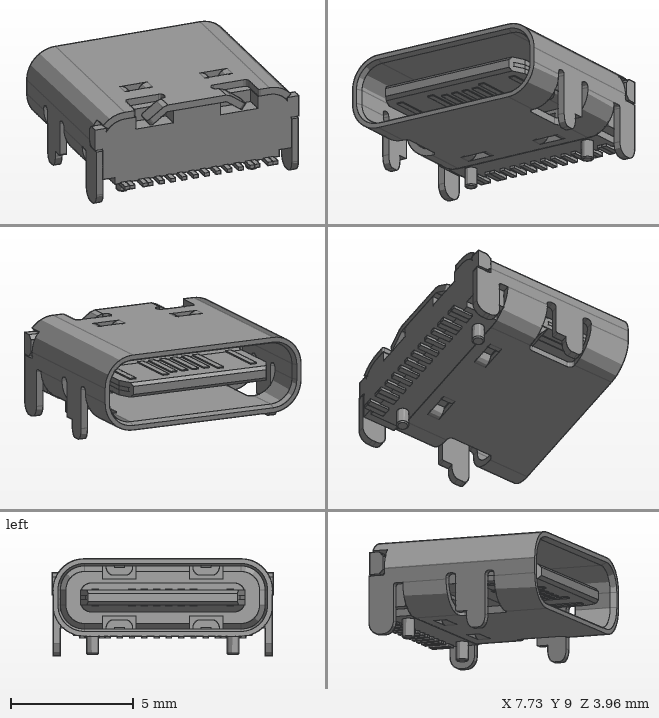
import cadquery as cq
import math


SHEET = 0.3
SHELL_WIDTH = 8.93
SHELL_HEIGHT = 3.16
SHELL_LENGTH = 7.26
CORNER_RADIUS = 1.27
SHELL_Y = SHELL_WIDTH / 2
SHELL_Z = SHELL_HEIGHT / 2
INNER_Y = SHELL_Y - SHEET
INNER_Z = SHELL_Z - SHEET
FLAT_Z = SHELL_Z - CORNER_RADIUS
MOUTH_CHAMFER = 0.1
MOUTH_CHAMFER_DEPTH = 0.25

OVERALL_HEIGHT = 3.96
LEG_BOTTOM = SHELL_Z - OVERALL_HEIGHT

WINDOW_FRONT = 1.79
WINDOW_REAR = 3.91
WINDOW_INNER_Y = 2.97
WINDOW_RADIUS = 0.22
SLOT_TOP = -0.06
SLOT_RADIUS = 0.17
FRONT_LEG_FRONT = 2.19
FRONT_LEG_REAR = 3.01
FRONT_LEG_TAPER = 0.27
SHOULDER_REAR = 3.48
SHOULDER_BOTTOM = -1.67
SHOULDER_RADIUS = 0.07

UNDERSIDE_REAR = 5.81
REAR_LEG_FRONT = 6.23
REAR_LEG_REAR = 7.31
REAR_LEG_TAPER = 0.45
LEG_TIP_HEIGHT = 0.5
LEG_ROOT_RADIUS = 0.11

SPRING_FRONT = 4.79
SPRING_REAR = 5.33
SPRING_Y = 1.76
SPRING_HALF_WIDTH = 0.61
SPRING_CEILING_HALF = 0.54
SPRING_CREST_HALF = 0.33
SPRING_VALLEY_HALF = 0.2
SPRING_DROP = 0.36
SPRING_UPPER_MIDDLE = (0.315, 1.46)
SPRING_LOWER_MIDDLE = (0.49, 1.05)

NOTCH_FRONT = 6.11
NOTCH_SLOT_REAR = 6.525
NOTCH_OUTER_Y = 2.72
NOTCH_INNER_Y = 1.04
NOTCH_RADIUS = 0.16
NOTCH_MOUTH_RADIUS = 0.07
FLAP_FRONT = 6.57
FLAP_ROOT_Y = 1.29
FLAP_BEND_Y = 1.5
FLAP_TIP_Y = 2.2
FLAP_BEND_DROP = 0.07
FLAP_TIP_DROP = 0.57
FLAP_TIP_RADIUS = 0.135

CORE_FRONT = 4.5
CORE_CHAMFER = 0.225
SPRING_POCKET_WIDTH = 1.37
SPRING_POCKET_REAR = 5.49
POCKET_Z = 0.75
FLAP_POCKET_FRONT = 6.51
FLAP_POCKET_OUTER_Y = 2.69

FLANK_BOTTOM = -1.25
SLAB_Y = 3.64
SLAB_BOTTOM = -1.55

TONGUE_FRONT = 0.3
TONGUE_WIDTH = 6.7
TONGUE_THICKNESS = 0.61
TIP_CHAMFER = 0.135
TIP_SIDE_RUN = 0.69
TIP_SIDE_INSET = 0.315
BASE_FRONT = 3.15
BASE_HEIGHT = 1.18
BASE_RADIUS = 0.44
BASE_RAMP = 0.27

EAR_FRONT = 6.66
EAR_REAR = SHELL_LENGTH
EAR_BOTTOM = 0.1
EAR_TOP = 1.01
EAR_ROOT_Y = 4.005
EAR_Y = 4.5
EAR_CHAMFER = 0.18
EAR_NOTCH_FRONT = 6.62
EAR_NOTCH_BOTTOM = 0.045
EAR_NOTCH_TOP = 1.14
EAR_NOTCH_RADIUS = 0.09

PEG_DIAMETER = 0.5
PEG_X = 6.23
PEG_Y = 2.86
PEG_BOTTOM = -2.32
PEG_CHAMFER = 0.05

PITCH = 50 / 9
CONTACT_WIDTH = 0.27
CONTACT_HEIGHT = 0.045
LONG_CONTACT_FRONT = 0.9
SHORT_CONTACT_FRONT = 1.17
LONG_CONTACT_STEPS = (0.225, 0.495)
SHORT_CONTACT_STEPS = (0.045, 0.135)

TAIL_WIDTH = 0.22
TAIL_FRONT = 6.84
TAIL_REAR = 7.73
TAIL_TOP = -1.5
TAIL_BOTTOM = -1.66
TAIL_STEPS = (0.045, 0.135, 0.225, 0.315)
TAIL_PAIRS = (2.36, 3.16)
TAIL_PAIR_SPACING = 0.23

PLATE_THICKNESS = 0.17
PLATE_INSET = 0.225
PLATE_FRONT = TONGUE_FRONT + PLATE_INSET
PLATE_REAR = BASE_FRONT

SIDES = (-1, 1)
MARGIN = 0.09
PICK = 0.01


def box(x0, x1, y0, y1, z0, z1):
    """A box between two opposite corners."""
    corner = (min(x0, x1), min(y0, y1), min(z0, z1))
    return cq.Workplane("XY").box(abs(x1 - x0), abs(y1 - y0), abs(z1 - z0), centered=False).translate(corner)


def rounded_bar(x0, x1, half_y, half_z, radius):
    """A bar along X with a rounded rectangular section."""
    bar = box(x0, x1, -half_y, half_y, -half_z, half_z)
    return bar.edges("|X").fillet(radius)


def across(profile, y0, y1):
    """An XZ profile of points, extruded from y0 to y1."""
    return cq.Workplane("XZ", origin=(0, y0, 0)).polyline(profile).close().extrude(y0 - y1)


def along(profile, x0, x1):
    """A YZ profile of points, extruded from x0 to x1."""
    return cq.Workplane("YZ", origin=(x0, 0, 0)).polyline(profile).close().extrude(x1 - x0)


def both_sides(body):
    """A body and its mirror image in Y."""
    return body.union(body.mirror("XZ"))


def shell_tube():
    outer = rounded_bar(0, SHELL_LENGTH, SHELL_Y, SHELL_Z, CORNER_RADIUS)
    inner = rounded_bar(0, SHELL_LENGTH, INNER_Y, INNER_Z, CORNER_RADIUS - SHEET)
    tube = outer.cut(inner)
    inner_wire = inner.faces("<X").wires().val()
    lead_in = cq.Solid.makeLoft([
        inner_wire.offset2D(MOUTH_CHAMFER)[0],
        inner_wire.translate(cq.Vector(MOUTH_CHAMFER_DEPTH, 0, 0)),
    ], True)
    return tube.cut(cq.Workplane(lead_in))


def leg(front, rear, top, taper):
    """A flat leg on the -Y side, its tip corners rounded as quarter ellipses."""
    shoulder = LEG_BOTTOM + LEG_TIP_HEIGHT
    return (
        cq.Workplane("XZ", origin=(0, -INNER_Y, 0))
        .moveTo(front, top)
        .lineTo(front, shoulder)
        .ellipseArc(taper, LEG_TIP_HEIGHT, 180, 270)
        .lineTo(rear - taper, LEG_BOTTOM)
        .ellipseArc(taper, LEG_TIP_HEIGHT, 270, 360)
        .lineTo(rear, top)
        .close()
        .extrude(SHEET)
    )


def front_leg_window():
    """The opening around a front leg: a bottom window and a round-topped slot beside the leg."""
    outside = SHELL_Y + MARGIN
    window = box(WINDOW_FRONT, WINDOW_REAR, -WINDOW_INNER_Y, -outside, -FLAT_Z, -SHELL_Z - MARGIN)
    window = window.edges("|Z and >Y").fillet(WINDOW_RADIUS)
    for front, rear in ((WINDOW_FRONT, FRONT_LEG_FRONT), (SHOULDER_REAR, WINDOW_REAR)):
        slot = box(front, rear, -WINDOW_INNER_Y - WINDOW_RADIUS, -outside, SLOT_TOP, -SHELL_Z)
        window = window.union(slot.edges("|Y and >Z").fillet(SLOT_RADIUS))
    return window


def front_leg():
    shoulder = box(FRONT_LEG_FRONT, SHOULDER_REAR, -INNER_Y, -SHELL_Y, SLOT_TOP, SHOULDER_BOTTOM)
    shoulder = shoulder.edges("|Y and >X and <Z").fillet(SHOULDER_RADIUS)
    return leg(FRONT_LEG_FRONT, FRONT_LEG_REAR, SLOT_TOP, FRONT_LEG_TAPER).union(shoulder)


def rear_leg():
    """A rear leg whose top reaches up the side wall to the ear notch."""
    plate = leg(REAR_LEG_FRONT, REAR_LEG_REAR, EAR_NOTCH_BOTTOM, REAR_LEG_TAPER)
    fillet_block = box(REAR_LEG_FRONT - LEG_ROOT_RADIUS, REAR_LEG_FRONT, -INNER_Y, -SHELL_Y,
                       -FLAT_Z, -FLAT_Z - LEG_ROOT_RADIUS)
    round_cut = (
        cq.Workplane("XZ", origin=(REAR_LEG_FRONT - LEG_ROOT_RADIUS, -INNER_Y, -FLAT_Z - LEG_ROOT_RADIUS))
        .circle(LEG_ROOT_RADIUS)
        .extrude(SHEET)
    )
    return plate.union(fillet_block.cut(round_cut))


def ear_notch():
    """The opening for the ear on the -Y side, its top edge cut square to the round of the shell."""
    centre_y = SHELL_Y - CORNER_RADIUS
    top_angle = math.asin((EAR_NOTCH_TOP - FLAT_Z) / CORNER_RADIUS)
    reach = CORNER_RADIUS + MARGIN
    top_outer = (-centre_y - reach * math.cos(top_angle), FLAT_Z + reach * math.sin(top_angle))
    outside = -SHELL_Y - MARGIN
    profile = [
        (-centre_y, FLAT_Z),
        top_outer,
        (outside, top_outer[1]),
        (outside, EAR_NOTCH_BOTTOM),
        (-centre_y, EAR_NOTCH_BOTTOM),
    ]
    notch = along(profile, EAR_NOTCH_FRONT, REAR_LEG_REAR)
    return notch.edges("|Y and <X and <Z").fillet(EAR_NOTCH_RADIUS)


def spring_bridge():
    """A dished strip pressed inward from the top sheet, centred on Y = 0."""
    valley_z = SHELL_Z - SPRING_DROP
    crest_z = INNER_Z - SPRING_DROP
    upper_y, upper_z = SPRING_UPPER_MIDDLE
    lower_y, lower_z = SPRING_LOWER_MIDDLE
    return (
        cq.Workplane("YZ", origin=(SPRING_FRONT, 0, 0))
        .moveTo(SPRING_HALF_WIDTH, INNER_Z)
        .lineTo(SPRING_HALF_WIDTH, SHELL_Z)
        .threePointArc((upper_y, upper_z), (SPRING_VALLEY_HALF, valley_z))
        .lineTo(-SPRING_VALLEY_HALF, valley_z)
        .threePointArc((-upper_y, upper_z), (-SPRING_HALF_WIDTH, SHELL_Z))
        .lineTo(-SPRING_HALF_WIDTH, INNER_Z)
        .lineTo(-SPRING_CEILING_HALF, INNER_Z)
        .threePointArc((-lower_y, lower_z), (-SPRING_CREST_HALF, crest_z))
        .lineTo(SPRING_CREST_HALF, crest_z)
        .threePointArc((lower_y, lower_z), (SPRING_CEILING_HALF, INNER_Z))
        .close()
        .extrude(SPRING_REAR - SPRING_FRONT)
    )


def spring_window():
    low, high = INNER_Z - MARGIN, SHELL_Z + MARGIN
    return box(SPRING_FRONT, SPRING_REAR, -SPRING_HALF_WIDTH, SPRING_HALF_WIDTH, low, high)


def flap_notch():
    """The cut in the top sheet around the flap on the +Y side."""
    low, high = INNER_Z - MARGIN, SHELL_Z + MARGIN
    slot = box(NOTCH_FRONT, NOTCH_SLOT_REAR, NOTCH_INNER_Y, NOTCH_OUTER_Y, low, high)
    slot = slot.edges("|Z").edges("<X or <Y").fillet(NOTCH_RADIUS)
    opening = box((NOTCH_FRONT + NOTCH_SLOT_REAR) / 2, SHELL_LENGTH, FLAP_ROOT_Y, NOTCH_OUTER_Y, low, high)
    return slot.union(opening)


def flap():
    """The flap bent down and outward on the +Y side."""
    slope = math.atan2(FLAP_TIP_DROP - FLAP_BEND_DROP, FLAP_TIP_Y - FLAP_BEND_Y)
    inset = SHEET * math.sin(slope)
    depth = SHEET * math.cos(slope)
    bend_z = SHELL_Z - FLAP_BEND_DROP
    tip_z = SHELL_Z - FLAP_TIP_DROP
    profile = [
        (FLAP_ROOT_Y, SHELL_Z),
        (FLAP_BEND_Y, bend_z),
        (FLAP_TIP_Y, tip_z),
        (FLAP_TIP_Y - inset, tip_z - depth),
        (FLAP_BEND_Y - inset, bend_z - depth),
        (FLAP_ROOT_Y, INNER_Z),
    ]
    plate = along(profile, FLAP_FRONT, SHELL_LENGTH)
    tip_middle = (SHELL_LENGTH, FLAP_TIP_Y - inset / 2, tip_z - depth / 2)
    tip_edges = cq.selectors.BoxSelector(
        (FLAP_FRONT - PICK, tip_middle[1] - PICK, tip_middle[2] - PICK),
        (SHELL_LENGTH + PICK, tip_middle[1] + PICK, tip_middle[2] + PICK))
    return plate.edges(tip_edges).edges("not |X").fillet(FLAP_TIP_RADIUS)


def make_shell():
    shell = shell_tube()
    shell = shell.cut(box(UNDERSIDE_REAR, SHELL_LENGTH, -SHELL_Y, SHELL_Y, -FLAT_Z, -SHELL_Z))
    shell = shell.cut(both_sides(front_leg_window()))
    shell = shell.cut(both_sides(ear_notch()))
    shell = shell.union(both_sides(front_leg())).union(both_sides(rear_leg()))
    for side in SIDES:
        window = spring_window().translate((0, side * SPRING_Y, 0))
        bridge = spring_bridge().translate((0, side * SPRING_Y, 0))
        shell = shell.cut(window).cut(window.mirror("XY"))
        shell = shell.union(bridge).union(bridge.mirror("XY"))
    shell = shell.cut(both_sides(flap_notch()))
    for side in SIDES:
        mouth_corner = cq.selectors.BoxSelector(
            (SHELL_LENGTH - PICK, side * NOTCH_OUTER_Y - PICK, INNER_Z - PICK),
            (SHELL_LENGTH + PICK, side * NOTCH_OUTER_Y + PICK, SHELL_Z + PICK))
        shell = shell.edges(mouth_corner).edges("|Z").fillet(NOTCH_MOUTH_RADIUS)
    return shell.union(both_sides(flap()))


def core():
    """The block that fills the rear of the shell, with pockets for the springs and flaps."""
    block = rounded_bar(CORE_FRONT, SHELL_LENGTH, INNER_Y, INNER_Z, CORNER_RADIUS - SHEET)
    block = block.faces("<X").edges().chamfer(CORE_CHAMFER)
    flank = box(UNDERSIDE_REAR, SHELL_LENGTH, -INNER_Y, INNER_Y, -FLAT_Z, FLANK_BOTTOM)
    slab = box(UNDERSIDE_REAR, SHELL_LENGTH, -SLAB_Y, SLAB_Y, FLANK_BOTTOM, SLAB_BOTTOM)
    block = block.union(flank).union(slab)
    for side in SIDES:
        spring_pocket = box(CORE_FRONT, SPRING_POCKET_REAR, -SPRING_POCKET_WIDTH / 2, SPRING_POCKET_WIDTH / 2,
                            POCKET_Z, INNER_Z).translate((0, side * SPRING_Y, 0))
        block = block.cut(spring_pocket).cut(spring_pocket.mirror("XY"))
    flap_pocket = box(FLAP_POCKET_FRONT, SHELL_LENGTH, NOTCH_INNER_Y, FLAP_POCKET_OUTER_Y, POCKET_Z, INNER_Z)
    return block.cut(both_sides(flap_pocket))


def tongue():
    half = TONGUE_THICKNESS / 2
    half_width = TONGUE_WIDTH / 2
    side_profile = [
        (CORE_FRONT, half),
        (TONGUE_FRONT + TIP_CHAMFER, half),
        (TONGUE_FRONT, half - TIP_CHAMFER),
        (TONGUE_FRONT, TIP_CHAMFER - half),
        (TONGUE_FRONT + TIP_CHAMFER, -half),
        (CORE_FRONT, -half),
    ]
    plan = [
        (CORE_FRONT, half_width),
        (TONGUE_FRONT + TIP_SIDE_RUN, half_width),
        (TONGUE_FRONT, half_width - TIP_SIDE_INSET),
        (TONGUE_FRONT, TIP_SIDE_INSET - half_width),
        (TONGUE_FRONT + TIP_SIDE_RUN, -half_width),
        (CORE_FRONT, -half_width),
    ]
    outline = cq.Workplane("XY", origin=(0, 0, -half)).polyline(plan).close().extrude(TONGUE_THICKNESS)
    return across(side_profile, -half_width, half_width).intersect(outline)


def tongue_base():
    """The thick root of the tongue, ramped at its front."""
    thin, thick = TONGUE_THICKNESS / 2, BASE_HEIGHT / 2
    ramp_profile = [
        (CORE_FRONT, thick),
        (BASE_FRONT + BASE_RAMP, thick),
        (BASE_FRONT, thin),
        (BASE_FRONT, -thin),
        (BASE_FRONT + BASE_RAMP, -thick),
        (CORE_FRONT, -thick),
    ]
    bar = rounded_bar(BASE_FRONT, CORE_FRONT, TONGUE_WIDTH / 2, thick, BASE_RADIUS)
    return bar.intersect(across(ramp_profile, -TONGUE_WIDTH / 2, TONGUE_WIDTH / 2))


def ear():
    """The locking ear on the -Y side, which sits in the notch of the shell."""
    profile = [
        (EAR_REAR, EAR_TOP),
        (EAR_FRONT + EAR_CHAMFER, EAR_TOP),
        (EAR_FRONT, EAR_TOP - EAR_CHAMFER),
        (EAR_FRONT, EAR_BOTTOM + EAR_CHAMFER),
        (EAR_FRONT + EAR_CHAMFER, EAR_BOTTOM),
        (EAR_REAR, EAR_BOTTOM),
    ]
    return across(profile, -EAR_Y, -EAR_ROOT_Y)


def peg():
    """The locating peg on the +Y side."""
    return (
        cq.Workplane("XY", origin=(PEG_X, PEG_Y, PEG_BOTTOM))
        .circle(PEG_DIAMETER / 2)
        .extrude(SLAB_BOTTOM - PEG_BOTTOM)
        .faces("<Z")
        .chamfer(PEG_CHAMFER)
    )


def contact(y, front):
    """A contact pair at one place: strips standing proud of the top and bottom of the tongue."""
    reach = TONGUE_THICKNESS / 2 + CONTACT_HEIGHT
    strip = box(front, BASE_FRONT + BASE_RAMP, y - CONTACT_WIDTH / 2, y + CONTACT_WIDTH / 2,
                PLATE_THICKNESS, reach)
    return strip.union(strip.mirror("XY"))


def tail(y):
    return box(TAIL_FRONT, TAIL_REAR, y - TAIL_WIDTH / 2, y + TAIL_WIDTH / 2, TAIL_BOTTOM, TAIL_TOP)


def make_housing(plate):
    housing = core().union(tongue()).union(tongue_base())
    housing = housing.union(both_sides(ear())).union(both_sides(peg()))
    for step in LONG_CONTACT_STEPS:
        housing = housing.union(both_sides(contact(step * PITCH, LONG_CONTACT_FRONT)))
    for step in SHORT_CONTACT_STEPS:
        housing = housing.union(both_sides(contact(step * PITCH, SHORT_CONTACT_FRONT)))
    for step in TAIL_STEPS:
        housing = housing.union(both_sides(tail(step * PITCH)))
    for middle in TAIL_PAIRS:
        for side in SIDES:
            housing = housing.union(both_sides(tail(middle + side * TAIL_PAIR_SPACING / 2)))
    return housing.cut(plate)


def make_plate():
    """A flat plate inside the tongue, its long edges bare at the tongue's sides."""
    half_width = TONGUE_WIDTH / 2
    half = PLATE_THICKNESS / 2
    return box(PLATE_FRONT, PLATE_REAR, -half_width, half_width, -half, half).intersect(tongue())


shell = make_shell()
plate = make_plate()
housing = make_housing(plate)

result = cq.Compound.makeCompound([shell.val(), housing.val(), plate.val()])